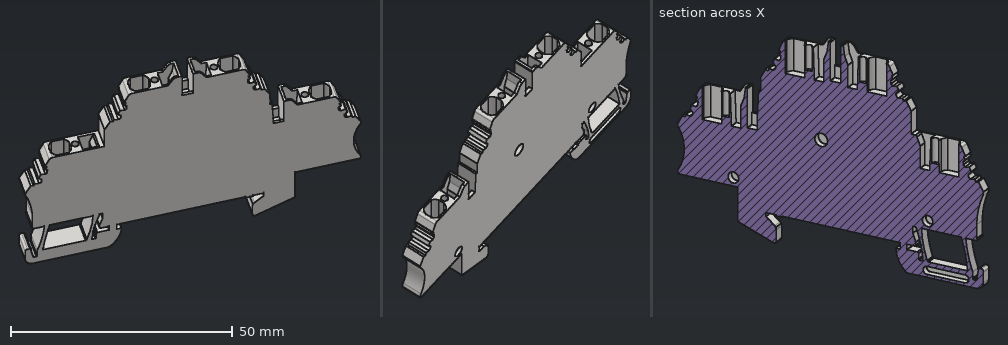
import cadquery as cq
import math

THICKNESS = 5.1
LENGTH = 79.06
HEIGHT = 52.98
NEAR_FACE = -THICKNESS / 2
END_Y = LENGTH / 2
COVER_THICKNESS = 1.5

BOSS_HEIGHT = 2.2
UPPER_TOP = HEIGHT - BOSS_HEIGHT
LOWER_TOP = UPPER_TOP - 16.03
HEAD_DEPTH = 10.36
SHOULDER_REACH = 6.4
HEAD_WIDTH = 15.0

LOWER_LEFT_EDGE = 33.1
UPPER_LEFT_EDGE = 11.7
UPPER_RIGHT_EDGE = -14.45
LOWER_RIGHT_EDGE = -33.1

RAIL_SEAT = 7.1
WING_BOTTOM = 11.85
LEFT_FOOT_Y = 24.0
BODY_RIGHT_Y = -21.3

WIRE_HOLE_INSET = 2.5
WIRE_HOLE_DIAMETER = 5.1
WIRE_HOLE_LENGTH = 4.9
WIRE_HOLE_WIDTH = 4.2
WIRE_HOLE_DEPTH = 8.0
TEST_HOLE_INSET = 6.1
TEST_HOLE_DIAMETER = 1.6
TEST_HOLE_DEPTH = 6.0
POCKET_OUTER_INSET = 7.25
POCKET_INNER_INSET = 11.1
POCKET_WIDTH = 3.9
POCKET_OFFSET_X = 0.15
POCKET_DEPTH = 8.0
POCKET_DRAFT = 0.35
POCKET_RIM_DEPTH = 0.4
POCKET_LEAD_IN = 0.85
POCKET_LEAD_IN_DEPTH = 2.5

UPPER_SLOT = (0.0, -2.55)
UPPER_SLOT_FLOOR = 46.45
LOWER_SLOT = (21.37, 18.95)
LOWER_SLOT_FLOOR = 30.2
SLOT_POCKET_WIDTH = 3.5
SLOT_POCKET_DEPTH = 3.0

BLIND_DEPTH = 4.1
CENTRE_HOLE = (2.4, 28.25, 3.15)
WING_HOLES = ((25.07, 14.05, 2.6), (-25.07, 14.05, 2.6))
GRIP_SLOT = (-29.8, 1.8, 11.7, 1.85)

NOTCH_FLOOR = 5.4
TOWER_LEFT_Y = UPPER_LEFT_EDGE + SHOULDER_REACH
TOWER_RIGHT_Y = UPPER_RIGHT_EDGE - SHOULDER_REACH
TOWER_LEDGE_Z = LOWER_TOP + BOSS_HEIGHT
TOWER_LEDGE_WIDTH = 0.5


def plate(start, steps, x_from=NEAR_FACE, x_to=-NEAR_FACE):
    """Extrude a YZ outline along X. A step is an end point, or an arc's (middle, end) pair."""
    outline = cq.Workplane("YZ", origin=(x_from, 0, 0)).moveTo(*start)
    for step in steps:
        if isinstance(step[0], tuple):
            outline = outline.threePointArc(*step)
        else:
            outline = outline.lineTo(*step)
    return outline.close().extrude(x_to - x_from)


def box(y_limits, z_limits, x_from=NEAR_FACE, x_to=-NEAR_FACE):
    """Rectangular block between the given limits."""
    (y0, y1), (z0, z1) = y_limits, z_limits
    return plate((y0, z0), [(y1, z0), (y1, z1), (y0, z1)], x_from, x_to)


def from_edge(edge, top, side):
    """Mapping from (distance outward, distance down) at a terminal's top edge to (Y, Z)."""
    return lambda out, down: (edge + side * out, top - down)


def head(edge, top, side):
    """Terminal head with its flat top and its shoulder of ridges and grooves."""
    at = from_edge(edge, top, side)
    return plate(at(-HEAD_WIDTH, 0), [
        at(0, 0),
        (at(0.45, 0.15), at(0.75, 0.5)),
        at(1.75, 2.5),
        at(1.35, 2.9),
        at(1.75, 3.4),
        at(1.15, 4.0),
        at(1.2, 4.75),
        at(1.65, 5.2),
        at(2.75, 4.95),
        at(3.25, 6.05),
        at(2.5, 6.9),
        (at(2.6, 7.45), at(3.15, 7.85)),
        at(4.15, 7.65),
        at(4.45, 8.3),
        at(5.1, 8.1),
        at(SHOULDER_REACH, HEAD_DEPTH),
        at(-HEAD_WIDTH, HEAD_DEPTH),
    ])


def boss(edge, top, side):
    """Raised lip with a sloped outer side, standing next to a marker slot."""
    at = from_edge(edge, top, side)
    rounding = 0.25
    inner = -12.0
    return plate(at(-8.5, 0), [
        at(-9.6, -1.65),
        (at(-9.96, -1.99), at(-10.4, -BOSS_HEIGHT)),
        at(inner + rounding, -BOSS_HEIGHT),
        at(inner, rounding - BOSS_HEIGHT),
        at(inner, 0),
    ])


def terminal_openings(edge, top, side, lip):
    """Wire hole, test hole and release pocket sunk into one terminal's top."""
    at = from_edge(edge, top, side)
    wire_y, _ = at(-WIRE_HOLE_INSET, 0)
    wire_hole = (
        cq.Workplane("XY", origin=(0, wire_y, top - WIRE_HOLE_DEPTH))
        .circle(WIRE_HOLE_DIAMETER / 2)
        .extrude(WIRE_HOLE_DEPTH)
    )
    limits = box(
        (wire_y - WIRE_HOLE_LENGTH / 2, wire_y + WIRE_HOLE_LENGTH / 2),
        (top - WIRE_HOLE_DEPTH, top),
        -WIRE_HOLE_WIDTH / 2,
        WIRE_HOLE_WIDTH / 2,
    )
    wire_hole = wire_hole.intersect(limits)
    test_y, _ = at(-TEST_HOLE_INSET, 0)
    test_hole = (
        cq.Workplane("XY", origin=(0, test_y, top - TEST_HOLE_DEPTH))
        .circle(TEST_HOLE_DIAMETER / 2)
        .extrude(TEST_HOLE_DEPTH)
    )
    rim_inset = POCKET_INNER_INSET - POCKET_DRAFT
    floor_inset = rim_inset - POCKET_LEAD_IN
    pocket = plate(
        at(-POCKET_OUTER_INSET, -lip),
        [
            at(-POCKET_OUTER_INSET - POCKET_DRAFT, POCKET_DEPTH),
            at(-floor_inset, POCKET_DEPTH),
            at(-floor_inset, POCKET_LEAD_IN_DEPTH),
            at(-rim_inset, POCKET_RIM_DEPTH),
            at(-POCKET_INNER_INSET, -lip),
        ],
        POCKET_OFFSET_X - POCKET_WIDTH / 2,
        POCKET_OFFSET_X + POCKET_WIDTH / 2,
    )
    return wire_hole.union(test_hole).union(pocket)


def core():
    """Middle of the housing, from the rail seat up to the foot of the upper shoulders."""
    tower_top = UPPER_TOP - HEAD_DEPTH
    ledge_y = TOWER_LEFT_Y + TOWER_LEDGE_WIDTH
    return plate((LEFT_FOOT_Y, RAIL_SEAT), [
        (LEFT_FOOT_Y, LOWER_SLOT_FLOOR),
        (LOWER_SLOT[1], LOWER_SLOT_FLOOR),
        (ledge_y, TOWER_LEDGE_Z),
        (TOWER_LEFT_Y, TOWER_LEDGE_Z),
        (TOWER_LEFT_Y, tower_top),
        (TOWER_RIGHT_Y, tower_top),
        (TOWER_RIGHT_Y, WING_BOTTOM),
        (BODY_RIGHT_Y, WING_BOTTOM),
        (BODY_RIGHT_Y, 10.3),
        (-22.05, 8.2),
        (-22.05, RAIL_SEAT + 0.3),
        (-21.75, RAIL_SEAT),
    ])


def left_wing():
    """Lower left wing, whose end is hollowed by a finger recess."""
    return plate((LEFT_FOOT_Y - 1, WING_BOTTOM), [
        (39.1, WING_BOTTOM),
        ((39.4, 12.0), (39.5, 12.4)),
        ((39.45, 12.85), (39.2, 13.3)),
        ((37.8, 18.4), (39.2, 23.35)),
        ((END_Y - 0.02, 23.9), (LOWER_LEFT_EDGE + SHOULDER_REACH, LOWER_TOP - HEAD_DEPTH)),
        (LOWER_LEFT_EDGE - HEAD_WIDTH, LOWER_TOP - HEAD_DEPTH),
        (LOWER_LEFT_EDGE - HEAD_WIDTH, WING_BOTTOM),
    ])


def right_wing():
    """Lower right wing, with a half finger recess running into a straight end."""
    return plate((TOWER_RIGHT_Y, WING_BOTTOM), [
        (-37.6, WING_BOTTOM),
        (-38.05, 12.3),
        (-37.8, 12.5),
        (-37.8, 16.1),
        ((-38.2, 19.7), (-39.45, 23.6)),
        ((-END_Y, 24.1), (LOWER_RIGHT_EDGE - SHOULDER_REACH, LOWER_TOP - HEAD_DEPTH)),
        (TOWER_RIGHT_Y, LOWER_TOP - HEAD_DEPTH),
    ])


def fixed_foot():
    """Rigid hooked foot gripping one edge of the rail."""
    foot = plate((LEFT_FOOT_Y, WING_BOTTOM), [
        (LEFT_FOOT_Y, 3.8),
        ((23.85, 3.4), (23.4, 3.15)),
        (14.78, 0.04),
        ((14.15, 0.18), (13.97, 0.6)),
        (13.97, 3.6),
        (14.05, 4.1),
        (14.4, 4.5),
        (16.65, 6.25),
        (16.65, WING_BOTTOM),
    ])
    notch = box((17.3, 13.9), (NOTCH_FLOOR, RAIL_SEAT), NEAR_FACE, NEAR_FACE + COVER_THICKNESS)
    rib = box((14.1, 12.4), (RAIL_SEAT - 0.25, RAIL_SEAT), NEAR_FACE + COVER_THICKNESS)
    return foot.cut(notch).union(rib)


def clip_foot():
    """Spring clip foot hanging from two slanted legs around a window."""
    heel_radius = 2.0
    heel_middle = heel_radius * (1 - math.sqrt(0.5))
    frame = plate((-22.0, WING_BOTTOM), [
        ((-22.75, 9.6), (-23.5, 6.5)),
        (-23.8, 3.95),
        (-23.0, 3.95),
        (-22.8, 4.2),
        (-22.8, 5.6),
        (-22.5, 5.9),
        (-19.8, 5.9),
        (-19.6, 5.65),
        (-16.85, 5.6),
        (-16.85, 5.0),
        ((-17.75, 2.2), (-19.7, 0.0)),
        (heel_radius - END_Y, 0.0),
        ((heel_middle - END_Y, heel_middle), (-END_Y, heel_radius)),
        (-END_Y, 4.65),
        ((-39.35, 5.1), (-38.95, 5.25)),
        (-38.4, 5.25),
        (-38.1, 4.95),
        (-37.7, 2.5),
        (-37.5, 2.1),
        (-36.9, 2.1),
        (-36.7, 2.4),
        (-36.7, 4.1),
        ((-35.65, 7.6), (-35.0, WING_BOTTOM - 0.3)),
        (-35.0, WING_BOTTOM),
    ])
    window = plate((-23.55, WING_BOTTOM), [
        ((-24.0, 8.0), (-25.0, 4.3)),
        (-25.3, 4.0),
        (-35.3, 4.0),
        ((-34.7, 7.9), (-33.7, WING_BOTTOM)),
    ])
    notch = box((-18.2, -19.7), (NOTCH_FLOOR, RAIL_SEAT), NEAR_FACE, NEAR_FACE + COVER_THICKNESS)
    link = box((-17.95, -19.7), (NOTCH_FLOOR, RAIL_SEAT), NEAR_FACE + COVER_THICKNESS)
    return frame.cut(window).cut(notch).union(link)


def marker_slots():
    """Two marker slots open at the top, each with a narrower pocket below its floor."""
    upper = box(UPPER_SLOT, (UPPER_SLOT_FLOOR, HEIGHT))
    outer_y, inner_y = LOWER_SLOT
    lower = plate((outer_y, TOWER_LEDGE_Z), [
        (outer_y, LOWER_SLOT_FLOOR),
        (inner_y, LOWER_SLOT_FLOOR),
        (TOWER_LEFT_Y + TOWER_LEDGE_WIDTH, TOWER_LEDGE_Z),
    ])
    slots = upper.union(lower)
    for limits, floor in ((UPPER_SLOT, UPPER_SLOT_FLOOR), (LOWER_SLOT, LOWER_SLOT_FLOOR)):
        slots = slots.union(box(
            limits,
            (floor - SLOT_POCKET_DEPTH, floor),
            POCKET_OFFSET_X - SLOT_POCKET_WIDTH / 2,
            POCKET_OFFSET_X + SLOT_POCKET_WIDTH / 2,
        ))
    return slots


def side_recesses():
    """Blind round holes and the grip slot in the -X face."""
    face = cq.Workplane("YZ", origin=(NEAR_FACE, 0, 0))
    slot_y, slot_z, slot_length, slot_height = GRIP_SLOT
    recesses = face.center(slot_y, slot_z).slot2D(slot_length, slot_height).extrude(BLIND_DEPTH)
    for y, z, diameter in (CENTRE_HOLE, *WING_HOLES):
        recesses = recesses.union(face.center(y, z).circle(diameter / 2).extrude(BLIND_DEPTH))
    return recesses


TERMINALS = (
    (LOWER_LEFT_EDGE, LOWER_TOP, 1, BOSS_HEIGHT),
    (UPPER_LEFT_EDGE, UPPER_TOP, 1, BOSS_HEIGHT),
    (UPPER_RIGHT_EDGE, UPPER_TOP, -1, BOSS_HEIGHT),
    (LOWER_RIGHT_EDGE, LOWER_TOP, -1, 0),
)

result = core().union(left_wing()).union(right_wing())
for edge, top, side, lip in TERMINALS:
    result = result.union(head(edge, top, side))
    if lip:
        result = result.union(boss(edge, top, side))
result = result.union(fixed_foot()).union(clip_foot())
result = result.cut(marker_slots())
for edge, top, side, lip in TERMINALS:
    result = result.cut(terminal_openings(edge, top, side, lip))
result = result.cut(side_recesses())